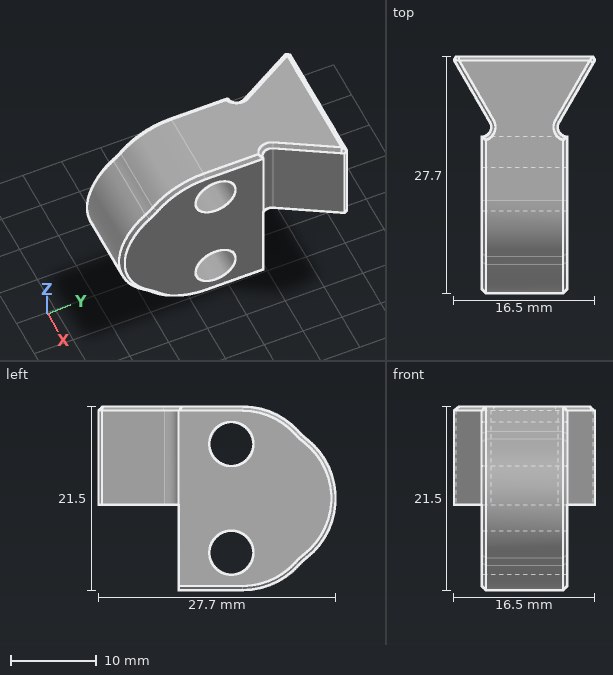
import cadquery as cq
import math

total_length = 27.73
body_width = 10.0
body_height = 21.5
nose_radius = 8.8
blend_radius = 7.2
flat_length = 7.45
tail_height = 11.5
tail_sharp_width = 17.0
flank_angle = math.radians(30)
notch_radius = 1.1
chamfer_size = 0.5
hole_diameter = 5.13
hole_spacing = 12.7
hole_from_back = 6.15

half_width = body_width / 2
half_height = body_height / 2
tail_half_width = tail_sharp_width / 2

flank_foot_x = half_width - notch_radius * math.cos(flank_angle)
flank_foot_y = total_length - (tail_half_width - flank_foot_x) / math.tan(flank_angle)
notch_center_y = flank_foot_y - notch_radius * math.sin(flank_angle)
body_back = notch_center_y - notch_radius
shoulder_start = body_back - flat_length


def make_body():
    """Rounded plate: two shoulder arcs and a nose arc, joined by concave blends."""
    shoulder_y = shoulder_start
    shoulder_z = half_height - nose_radius
    nose_y = nose_radius

    center_gap = math.hypot(shoulder_y - nose_y, shoulder_z)
    blend_reach = nose_radius + blend_radius
    blend_offset = math.sqrt(blend_reach**2 - (center_gap / 2)**2)
    outward_y = -shoulder_z / center_gap
    outward_z = (shoulder_y - nose_y) / center_gap
    blend_y = (shoulder_y + nose_y) / 2 + blend_offset * outward_y
    blend_z = shoulder_z / 2 + blend_offset * outward_z

    share = nose_radius / blend_reach
    upper_y = shoulder_y + share * (blend_y - shoulder_y)
    upper_z = shoulder_z + share * (blend_z - shoulder_z)
    lower_y = nose_y + share * (blend_y - nose_y)
    lower_z = share * blend_z

    return (
        cq.Workplane("YZ")
        .moveTo(body_back, half_height)
        .lineTo(shoulder_start, half_height)
        .tangentArcPoint((upper_y, upper_z), relative=False)
        .tangentArcPoint((lower_y, lower_z), relative=False)
        .threePointArc((0, 0), (lower_y, -lower_z))
        .tangentArcPoint((upper_y, -upper_z), relative=False)
        .tangentArcPoint((shoulder_start, -half_height), relative=False)
        .lineTo(body_back, -half_height)
        .close()
        .extrude(half_width, both=True)
    )


def make_tail():
    """Dovetail with a notched neck, level with the body's top."""
    notch_mid_angle = (flank_angle - math.pi / 2) / 2
    notch_mid_x = half_width - notch_radius * math.cos(notch_mid_angle)
    notch_mid_y = notch_center_y + notch_radius * math.sin(notch_mid_angle)
    return (
        cq.Workplane("XY")
        .workplane(offset=half_height - tail_height)
        .moveTo(-half_width, body_back)
        .lineTo(half_width, body_back)
        .threePointArc((notch_mid_x, notch_mid_y), (flank_foot_x, flank_foot_y))
        .lineTo(tail_half_width, total_length)
        .lineTo(-tail_half_width, total_length)
        .lineTo(-flank_foot_x, flank_foot_y)
        .threePointArc((-notch_mid_x, notch_mid_y), (-half_width, body_back))
        .close()
        .extrude(tail_height)
    )


def is_rim(edge):
    """True for the body's side outlines, the tail's top outline and its back corners."""
    tolerance = 0.003
    center = edge.Center()
    box = edge.BoundingBox()
    if center.y > body_back - tolerance:
        on_back_plane = center.y > total_length - tolerance
        on_corner = on_back_plane and abs(center.x) > tail_half_width - tolerance
        return on_corner or box.zmin > half_height - tolerance
    on_side = abs(abs(center.x) - half_width) < tolerance
    return on_side and box.xlen < tolerance


def make_holes():
    """Two cross holes, one above the other."""
    return (
        cq.Workplane("YZ")
        .pushPoints([(body_back - hole_from_back, side * hole_spacing / 2) for side in (-1, 1)])
        .circle(hole_diameter / 2)
        .extrude(half_width, both=True)
    )


blank = make_body().union(make_tail()).clean()
rim = blank.edges().filter(is_rim)
result = rim.chamfer(chamfer_size).cut(make_holes())